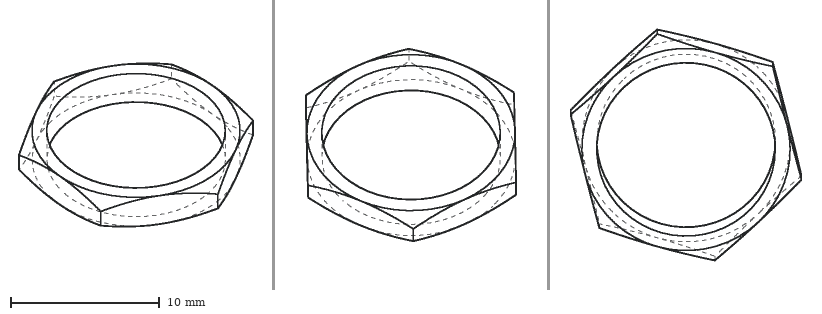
import cadquery as cq
import math

across_corners = 16.17
across_flats = across_corners * math.cos(math.radians(30))
thickness = 2.5
bore_diameter = 12.0
chamfer_angle = 30.0

corner_radius = across_corners / 2
face_radius = across_flats / 2
chamfer_drop = (corner_radius - face_radius) * math.tan(math.radians(chamfer_angle))


def hexagonal_ring():
    """Hexagon with corners on the Y axis and a plain through bore."""
    return (
        cq.Workplane("XY")
        .transformed(rotate=(0, 0, 90))
        .polygon(6, across_corners)
        .extrude(thickness)
        .faces(">Z")
        .workplane()
        .hole(bore_diameter)
    )


def chamfer_envelope():
    """Round body with conical edges that trims the hexagon corners."""
    return (
        cq.Workplane("XZ")
        .polyline([
            (0, 0),
            (face_radius, 0),
            (corner_radius, chamfer_drop),
            (corner_radius, thickness - chamfer_drop),
            (face_radius, thickness),
            (0, thickness),
        ])
        .close()
        .revolve(360, (0, 0, 0), (0, 1, 0))
    )


result = hexagonal_ring().intersect(chamfer_envelope())